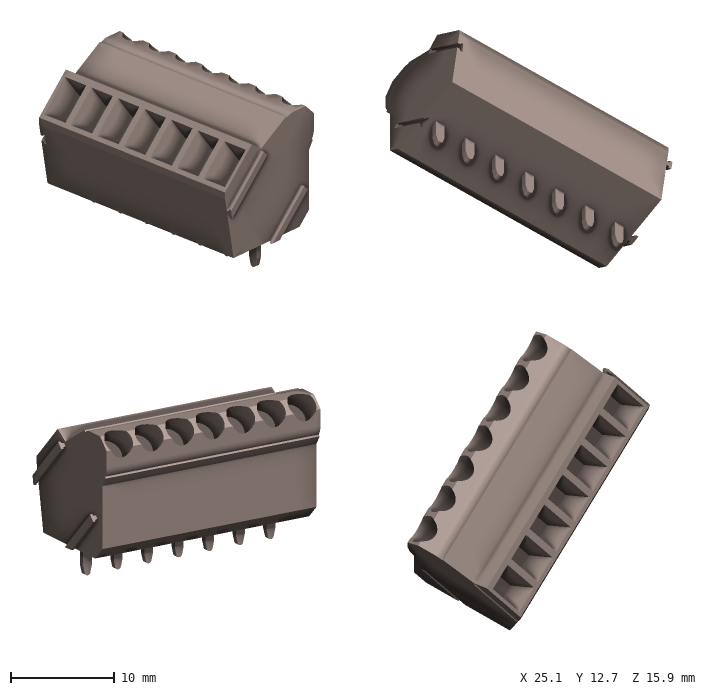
import cadquery as cq
import math


POLES = 7
LENGTH = 25.1
RAIL_HEIGHT = 0.6
BODY_LENGTH = LENGTH - RAIL_HEIGHT
PITCH = BODY_LENGTH / POLES

DEPTH = 12.7
HEIGHT = DEPTH
HEAD_CHAMFER = 1.18
HEAD_FLAT_END = 9.75
ROUND_RUN = 0.9
ROUND_DROP = 0.3
ROUND_RADIUS = (ROUND_RUN**2 + ROUND_DROP**2) / (2 * ROUND_DROP)
STEP = 0.15
VALLEY_Y = 5.2
VALLEY_Z = 10.42
NOSE_BOTTOM_Z = 7.5
PEAK_Y = 3.82
PEAK_Z = NOSE_BOTTOM_Z + PEAK_Y
FRONT_BEND_Z = 6.78
FOOT_FRONT_Y = 1.2
BACK_Y = 11.97
BACK_BEND_Z = 7.75
FOOT_CHAMFER = 1.33

ENTRY_WIDTH = 2.8
ENTRY_TOP_Z = 10.82
ENTRY_BOTTOM_Z = 7.83
ENTRY_LENGTH = (ENTRY_TOP_Z - ENTRY_BOTTOM_Z) * math.sqrt(2)
FUNNEL_DEPTH = 2.5
FLOOR_WIDTH = 1.43
FLOOR_LENGTH = 2.85

SCREW_DIAMETER = 3.0
SCREW_DEPTH = 2.74

RAIL_END_SUM = 15.24
RAIL_OFFSETS = (-4.95, 6.63)
RAIL_NECK = 0.43
RAIL_HEAD = 0.85
RAIL_HEAD_START = 0.33
RAIL_FILLET = 0.13
RAIL_EDGE_RADIUS = 0.08
GROOVE_NECK = 0.53
GROOVE_HEAD = 0.88
GROOVE_HEAD_START = 0.33
GROOVE_DEPTH = 0.6

PIN_WIDTH = 1.0
PIN_THICKNESS = 0.6
PIN_Y = 6.17
PIN_LENGTH = 3.2
PIN_TAPER_START = 2.15
PIN_TIP_WIDTH = 0.63
PIN_TIP_HEIGHT = 0.23


def pole_x(pole):
    return (pole + 0.5) * PITCH


def housing_blank():
    round_y = HEAD_FLAT_END - ROUND_RUN
    round_z = HEIGHT - ROUND_DROP
    return (
        cq.Workplane("YZ")
        .moveTo(FOOT_FRONT_Y, 0)
        .lineTo(0, FRONT_BEND_Z)
        .lineTo(0, NOSE_BOTTOM_Z)
        .lineTo(PEAK_Y, PEAK_Z)
        .lineTo(VALLEY_Y, VALLEY_Z)
        .lineTo(round_y - STEP, round_z + STEP)
        .lineTo(round_y, round_z)
        .radiusArc((HEAD_FLAT_END, HEIGHT), ROUND_RADIUS)
        .lineTo(DEPTH - HEAD_CHAMFER, HEIGHT)
        .lineTo(DEPTH, HEIGHT - HEAD_CHAMFER)
        .lineTo(DEPTH, HEAD_FLAT_END)
        .radiusArc((round_z, round_y), ROUND_RADIUS)
        .lineTo(round_z + STEP, round_y - STEP)
        .lineTo(BACK_Y, BACK_BEND_Z)
        .lineTo(BACK_Y, FOOT_CHAMFER)
        .lineTo(BACK_Y - FOOT_CHAMFER, 0)
        .close()
        .extrude(LENGTH)
    )


def wire_funnel(pole):
    middle_z = (ENTRY_TOP_Z + ENTRY_BOTTOM_Z) / 2
    face = cq.Plane(
        origin=(pole_x(pole), middle_z - NOSE_BOTTOM_Z, middle_z),
        xDir=(1, 0, 0),
        normal=(0, 1, -1),
    )
    return (
        cq.Workplane(face)
        .rect(ENTRY_WIDTH, ENTRY_LENGTH)
        .workplane(offset=FUNNEL_DEPTH)
        .rect(FLOOR_WIDTH, FLOOR_LENGTH)
        .loft(ruled=True)
    )


def screw_hole(pole):
    chamfer_depth = HEAD_CHAMFER / math.sqrt(2)
    corner = cq.Plane(origin=(pole_x(pole), DEPTH, HEIGHT), xDir=(1, 0, 0), normal=(0, -1, -1))
    return cq.Workplane(corner).circle(SCREW_DIAMETER / 2).extrude(chamfer_depth + SCREW_DEPTH)


def slanted_end(offset, wall_x):
    """Workplane across a rail at its upper end: local X is global X, the normal runs downhill."""
    end = cq.Plane(
        origin=(wall_x, (RAIL_END_SUM + offset) / 2, (RAIL_END_SUM - offset) / 2),
        xDir=(1, 0, 0),
        normal=(0, -1, -1),
    )
    return cq.Workplane(end)


def rail(offset):
    neck = RAIL_NECK / 2
    head = RAIL_HEAD / 2
    fillet_start = RAIL_HEAD_START - RAIL_FILLET
    fillet_end = neck + RAIL_FILLET
    return (
        slanted_end(offset, BODY_LENGTH)
        .moveTo(0, -neck)
        .lineTo(fillet_start, -neck)
        .tangentArcPoint((RAIL_HEAD_START, -fillet_end), relative=False)
        .lineTo(RAIL_HEAD_START, -head)
        .lineTo(RAIL_HEIGHT - RAIL_EDGE_RADIUS, -head)
        .tangentArcPoint((RAIL_HEIGHT, RAIL_EDGE_RADIUS - head), relative=False)
        .lineTo(RAIL_HEIGHT, head - RAIL_EDGE_RADIUS)
        .tangentArcPoint((RAIL_HEIGHT - RAIL_EDGE_RADIUS, head), relative=False)
        .lineTo(RAIL_HEAD_START, head)
        .lineTo(RAIL_HEAD_START, fillet_end)
        .tangentArcPoint((fillet_start, neck), relative=False)
        .lineTo(0, neck)
        .close()
        .extrude(RAIL_END_SUM)
    )


def groove(offset):
    end = slanted_end(offset, 0)
    neck = end.rect(2 * GROOVE_DEPTH, GROOVE_NECK).extrude(RAIL_END_SUM)
    head_thickness = GROOVE_DEPTH - GROOVE_HEAD_START
    head_middle = GROOVE_HEAD_START + head_thickness / 2
    head = end.center(head_middle, 0).rect(head_thickness, GROOVE_HEAD).extrude(RAIL_END_SUM)
    return neck.union(head)


def make_housing():
    blank = housing_blank()
    housing = blank.intersect(cq.Workplane("XY").box(BODY_LENGTH, DEPTH, HEIGHT, centered=False))
    for offset in RAIL_OFFSETS:
        housing = housing.union(rail(offset).intersect(blank))
        housing = housing.cut(groove(offset))
    for pole in range(POLES):
        housing = housing.cut(wire_funnel(pole)).cut(screw_hole(pole))
    return housing


def make_pin(pole):
    half = PIN_WIDTH / 2
    half_tip = PIN_TIP_WIDTH / 2
    tip_z = PIN_TIP_HEIGHT - PIN_LENGTH
    return (
        cq.Workplane("XZ", origin=(pole_x(pole), PIN_Y + PIN_THICKNESS / 2, 0))
        .moveTo(-half, 0)
        .lineTo(-half, -PIN_TAPER_START)
        .lineTo(-half_tip, tip_z)
        .threePointArc((0, -PIN_LENGTH), (half_tip, tip_z))
        .lineTo(half, -PIN_TAPER_START)
        .lineTo(half, 0)
        .close()
        .extrude(PIN_THICKNESS)
    )


housing = make_housing()
pins = [make_pin(pole) for pole in range(POLES)]

result = cq.Compound.makeCompound([housing.val(), *[pin.val() for pin in pins]])